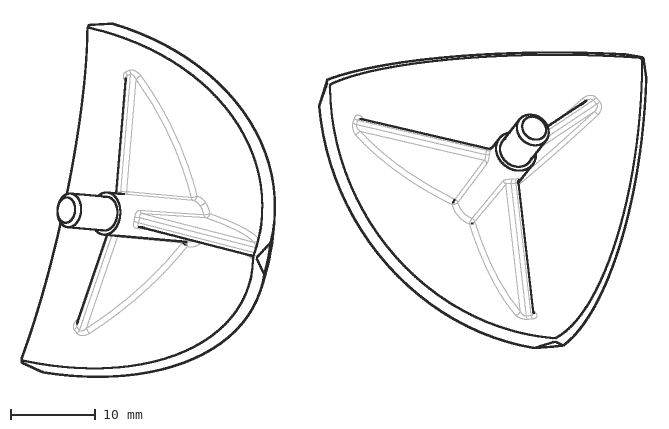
import cadquery as cq
import math

outer_radius = 30.0
wall = 1.5
inner_radius = outer_radius - wall
shell_mid_radius = inner_radius + wall / 2
rim_edge_fillet = 0.3
tip_facet_distance = 28.9
tip_facet_angle = 20.0

pin_radius = 2.5
pin_end_radius = 2.0
pin_end_length = 6.5
pin_end_height = 7.5
pin_step_height = pin_end_height + pin_end_length
pin_end_chamfer = 0.5

rib_count = 3
rib_axis_height = 15.9
rib_top_angle = 19.0
rib_top_width = 1.6
rib_draft = 1.0
rib_top_round = 0.5
root_fillet = 0.5
match_tolerance = 1e-3

octant_axes = (cq.Vector(1, 0, 0), cq.Vector(0, 1, 0), cq.Vector(0, 0, -1))
octant_diagonal = octant_axes[0] + octant_axes[1] + octant_axes[2]

pin_frame = cq.Plane(origin=(0, 0, 0), xDir=(1, 1, 2), normal=octant_diagonal.toTuple())


def ball(radius):
    return cq.Workplane("XY").sphere(radius)


def make_pin():
    body = (
        cq.Workplane("XY", origin=(0, 0, pin_step_height))
        .circle(pin_radius)
        .extrude(shell_mid_radius - pin_step_height)
    )
    end = (
        cq.Workplane("XY", origin=(0, 0, pin_end_height))
        .circle(pin_end_radius)
        .extrude(pin_end_length)
        .faces("<Z")
        .chamfer(pin_end_chamfer)
    )
    return body.union(end)


def make_rib():
    """Drafted wall along local X with a rounded top, ending inside the shell wall."""
    tilt = math.radians(rib_top_angle)
    run = cq.Vector(math.cos(tilt), 0, math.sin(tilt))
    depth_direction = cq.Vector(-math.sin(tilt), 0, math.cos(tilt))
    section = cq.Plane(origin=(0, 0, rib_axis_height), xDir=depth_direction, normal=run)
    depth = inner_radius
    top_half = rib_top_width / 2
    root_half = top_half + depth * math.tan(math.radians(rib_draft))
    profile = [(0, -top_half), (depth, -root_half), (depth, root_half), (0, top_half)]
    rib = cq.Workplane(section).polyline(profile).close().extrude(outer_radius)
    top_face = rib.faces(cq.selectors.DirectionMinMaxSelector(depth_direction, False))
    rib = top_face.edges(cq.selectors.ParallelDirSelector(run)).fillet(rib_top_round)
    outward_side = cq.Workplane("XY").box(
        outer_radius, outer_radius, outer_radius, centered=(False, True, False)
    )
    return rib.intersect(outward_side).intersect(ball(shell_mid_radius))


def is_root_edge(edge):
    """True where a rib or the pin meets the shell, or a rib meets the pin."""
    ends = [edge.startPoint(), edge.endPoint()]
    on_shell = all(abs(p.Length - inner_radius) < match_tolerance for p in ends)
    on_pin = all(
        abs(math.hypot(p.x, p.y) - pin_radius) < match_tolerance
        and p.z > pin_step_height + match_tolerance
        for p in ends
    )
    return on_shell or (on_pin and edge.geomType() != "LINE")


def make_pin_and_ribs_on_shell():
    """Full spherical shell with the filleted pin and ribs, in the pin frame."""
    body = ball(outer_radius).cut(ball(inner_radius)).union(make_pin())
    spacing = 360 / rib_count
    for index in range(rib_count):
        angle = (index + 0.5) * spacing
        body = body.union(make_rib().rotate((0, 0, 0), (0, 0, 1), angle))
    root_edges = [edge for edge in body.edges().vals() if is_root_edge(edge)]
    return body.newObject(root_edges).fillet(root_fillet)


def make_octant():
    """Cube filling the octant, with the edges along its three coordinate axes rounded."""
    size = 2 * outer_radius
    cube = cq.Workplane("XY").box(size, size, size).translate(octant_diagonal * outer_radius)
    corner = cube.vertices(cq.selectors.NearestToPointSelector((0, 0, 0)))
    axis_edges = [
        edge for edge in cube.edges().vals() if edge.distance(corner.val()) < rim_edge_fillet
    ]
    return cube.newObject(axis_edges).fillet(rim_edge_fillet)


def make_tip_cutter(axis):
    """Block beyond the sloped facet at the shell tip on one coordinate axis."""
    sideways = octant_diagonal - axis
    normal = axis - sideways * math.tan(math.radians(tip_facet_angle))
    facet = cq.Plane(origin=axis * tip_facet_distance, normal=normal)
    return cq.Workplane(facet).rect(outer_radius, outer_radius).extrude(outer_radius)


body = make_pin_and_ribs_on_shell()
body = cq.Workplane("XY").newObject([body.val().moved(pin_frame.location)])
result = body.intersect(make_octant())
for axis in octant_axes:
    result = result.cut(make_tip_cutter(axis))